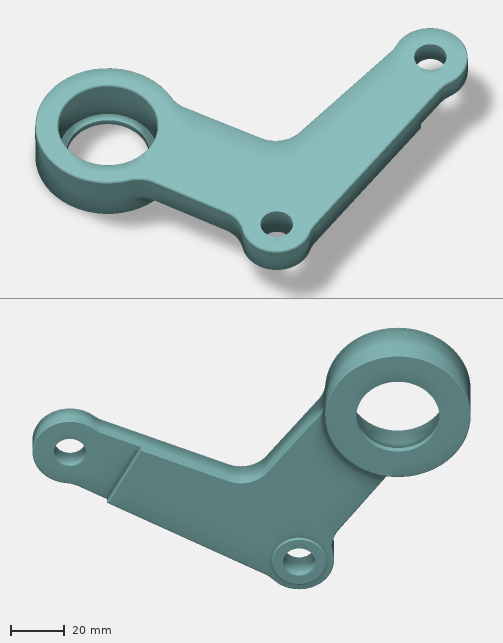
import cadquery as cq
import math

ring_height = 19.5
plate_thickness = 11.5
thin_end_thickness = 9.0
pad_height = 1.0

ring_center = (0, 0)
ring_radius = 27.0
counterbore_radius = 18.5
counterbore_depth = 17.1
bore_radius = 15.5

elbow_center = (78.1, 0)
elbow_radius = 13.0
pad_radius = 10.2
end_center = (77.3, 97.0)
end_radius = 14.0
pin_hole_diameter = 12.0
thin_end_start = 75.1

blend_radius = 12.0
edge_chamfer = 0.4
root_fillet = 1.0

arm_outline = [
    (0, 20.8),
    (58.2, 30.8),
    (64.5, end_center[1]),
    (89.1, end_center[1]),
    (89.7, elbow_center[1]),
    (elbow_center[0], -3.9),
    (0, -15.9),
]


def disc(center, radius, height):
    """Vertical cylinder hanging down from the top face."""
    return cq.Workplane("XY").center(*center).circle(radius).extrude(-height)


def blended_crank(thickness):
    """Arms, lugs and ring outline at the given thickness, with blended inner corners."""
    crank = cq.Workplane("XY").polyline(arm_outline).close().extrude(-thickness)
    crank = crank.union(disc(ring_center, ring_radius, thickness))
    crank = crank.union(disc(elbow_center, elbow_radius, thickness))
    crank = crank.union(disc(end_center, end_radius, thickness))
    return crank.edges("|Z").fillet(blend_radius)


def break_edges(body):
    """Chamfer all edges of the flat top and bottom faces."""
    return body.faces("|Z").edges().chamfer(edge_chamfer)


def beyond_thin_end_start():
    """Block enclosing everything past the straight step across the long arm."""
    return (
        cq.Workplane("XY", origin=(end_center[0], thin_end_start, 0))
        .box(4 * end_radius, 4 * end_radius, 2 * ring_height, centered=(True, False, True))
    )


def ring_root(outline):
    """Concave fillet between the underside of the plate and the ring wall."""
    outer = ring_radius + root_fillet
    bottom = -plate_thickness - root_fillet
    diagonal = root_fillet * math.sin(math.radians(45))
    collar = (
        cq.Workplane("XZ")
        .moveTo(counterbore_radius, -plate_thickness + root_fillet)
        .lineTo(outer, -plate_thickness + root_fillet)
        .lineTo(outer, -plate_thickness)
        .threePointArc((outer - diagonal, bottom + diagonal), (ring_radius, bottom))
        .lineTo(counterbore_radius, bottom)
        .close()
        .revolve(360, (0, 0), (0, 1))
    )
    return collar.intersect(outline)


thick_crank = break_edges(blended_crank(plate_thickness).cut(beyond_thin_end_start()))
thin_crank = break_edges(blended_crank(thin_end_thickness))
long_arm_end = thin_crank.intersect(beyond_thin_end_start().translate((0, -2 * edge_chamfer, 0)))
crank = thick_crank.union(long_arm_end)

ring = break_edges(disc(ring_center, ring_radius, ring_height))
root = ring_root(blended_crank(plate_thickness + root_fillet))
pad = disc(elbow_center, pad_radius, plate_thickness + pad_height).faces("<Z").chamfer(edge_chamfer)
result = crank.union(root).union(ring).union(pad)

counterbore = disc(ring_center, counterbore_radius, counterbore_depth)
counterbore_rim = (
    cq.Workplane("XY")
    .circle(counterbore_radius + edge_chamfer)
    .workplane(offset=-edge_chamfer)
    .circle(counterbore_radius)
    .loft()
)
result = result.cut(counterbore).cut(counterbore_rim)
result = result.cut(disc(ring_center, bore_radius, ring_height))
for pin_center in (elbow_center, end_center):
    result = result.cut(disc(pin_center, pin_hole_diameter / 2, ring_height))